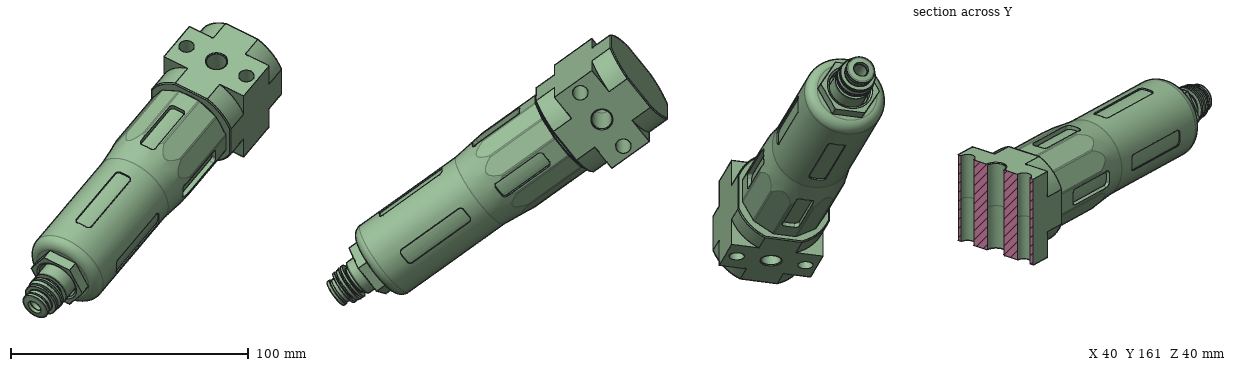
import cadquery as cq
import math


overall_length = 161.0

head_size = 40.0
head_band_width = 16.1
head_corner_radius = math.hypot(head_size / 2, head_band_width / 2)
head_collar_length = 19.8
head_end_chamfer = 0.5

port_diameter = 8.5
port_mouth_diameter = 9.3
mounting_hole_diameter = 6.5
mounting_hole_offset = 15.0

neck_diameter = 34.1
neck_length = 1.3
grip_corner_diameter = 38.2
grip_facet_count = 12
grip_facet_distance = 37.0
grip_length = 27.7
taper_length = 15.3
bowl_diameter = 34.8
bowl_fillet = 4.3

slot_width = 7.4
slot_corner_radius = 1.6
slot_floor_diameter = 33.5
slot_side_count = 4
upper_slot_start = -29.3
upper_slot_length = 25.1
lower_slot_start = -71.3
lower_slot_length = 33.0

hex_side_count = 6
hex_across_flats = 22.2
hex_length = 4.7
socket_diameter = 18.0
socket_mouth_diameter = 19.8
socket_chamfer_depth = 0.5

head_end = -head_size / 2
grip_start = head_end - neck_length
taper_start = grip_start - grip_length
taper_end = taper_start - taper_length
bowl_end = -119.2
hex_end = bowl_end - hex_length

drain_end = head_size / 2 - overall_length
shank_diameter = 16.0
shank_end_diameter = 15.8
shank_end_taper = 0.5
shank_end = -129.0
root_diameter = 11.6
step_diameter = 12.2
step_start = -130.6
upper_ring_start = -131.0
middle_ring_start = -133.0
middle_ring_end = -134.5
lower_ring_start = -135.4
ring_thickness = 1.0
small_ring_diameter = 15.1
shoulder_diameter = 11.8
shoulder_length = 0.3
stem_diameter = 11.5
groove_start = -138.3
groove_diameter = 10.6
tip_start = -139.3
tip_diameter = 12.2
tip_chamfer_width = 0.6
tip_chamfer_height = 0.2
tip_dome_height = 0.3
drain_hole_diameter = 6.0
drain_hole_depth = 12.0
drain_mouth_diameter = 6.5
drain_mouth_depth = 1.6


def cylinder_along_y(diameter, start, end):
    """Cylinder on the Y axis, running toward -Y from start to end."""
    return cq.Workplane("XZ", origin=(0, start, 0)).circle(diameter / 2).extrude(start - end)


def revolve_about_y(points):
    """Solid of revolution from (radius, y) points, closed along the Y axis."""
    outline = [(0, points[0][1]), *points, (0, points[-1][1])]
    return cq.Workplane("XY").polyline(outline).close().revolve(360, (0, 0, 0), (0, 1, 0))


def across_corners(side_count, across_flats):
    """Corner-to-corner diameter of a regular polygon with an even number of sides."""
    return across_flats / math.cos(math.pi / side_count)


def make_head():
    cube = cq.Workplane("XY").box(head_size, head_size, head_size)
    turned = cylinder_along_y(2 * head_corner_radius, head_size / 2, head_end)
    core = cube.intersect(turned).faces("<Y or >Y").edges().chamfer(head_end_chamfer)
    collar = cq.Workplane("XY").box(head_size, head_collar_length, head_size)
    return core.union(collar)


def cut_head_holes(body):
    port = cq.Workplane("XY").circle(port_diameter / 2).extrude(head_size / 2, both=True)
    mounting_holes = (
        cq.Workplane("XY")
        .pushPoints([(-mounting_hole_offset, 0), (mounting_hole_offset, 0)])
        .circle(mounting_hole_diameter / 2)
        .extrude(head_size / 2, both=True)
    )
    body = body.cut(port).cut(mounting_holes)
    port_edges = body.faces("<Z or >Z").edges(cq.selectors.RadiusNthSelector(-1))
    return port_edges.chamfer((port_mouth_diameter - port_diameter) / 2)


def make_guard():
    guard = revolve_about_y([
        (grip_corner_diameter / 2, grip_start),
        (grip_corner_diameter / 2, taper_start),
        (bowl_diameter / 2, taper_end),
        (bowl_diameter / 2, bowl_end),
    ])
    guard = guard.faces("<Y").edges().fillet(bowl_fillet)
    facets = (
        cq.Workplane("XZ", origin=(0, grip_start, 0))
        .transformed(rotate=(0, 0, 180 / grip_facet_count))
        .polygon(grip_facet_count, across_corners(grip_facet_count, grip_facet_distance))
        .extrude(grip_start - bowl_end)
    )
    return guard.intersect(facets)


def make_slot_cutter(start, length):
    """Rounded slot opening toward +Z, down to the cylindrical slot floor."""
    block = (
        cq.Workplane("XY")
        .center(0, start - length / 2)
        .rect(slot_width, length)
        .extrude(head_size / 2)
        .edges("|Z")
        .fillet(slot_corner_radius)
    )
    return block.cut(cylinder_along_y(slot_floor_diameter, start, start - length))


def cut_slots(guard):
    for start, length in (
        (upper_slot_start, upper_slot_length),
        (lower_slot_start, lower_slot_length),
    ):
        cutter = make_slot_cutter(start, length)
        for side in range(slot_side_count):
            angle = side * 360 / slot_side_count
            guard = guard.cut(cutter.rotate((0, 0, 0), (0, 1, 0), angle))
    return guard


def make_hexagon():
    hexagon = (
        cq.Workplane("XZ", origin=(0, bowl_end, 0))
        .polygon(hex_side_count, across_corners(hex_side_count, hex_across_flats))
        .extrude(hex_length)
    )
    socket = revolve_about_y([
        (socket_diameter / 2, bowl_end),
        (socket_diameter / 2, hex_end + socket_chamfer_depth),
        (socket_mouth_diameter / 2, hex_end),
    ])
    return hexagon.cut(socket)


def make_housing():
    head = cut_head_holes(make_head())
    neck = cylinder_along_y(neck_diameter, head_end, grip_start)
    return head.union(neck).union(cut_slots(make_guard())).union(make_hexagon())


def square_step(diameter, start, end):
    """The two (radius, y) points of a cylindrical stretch of a turned outline."""
    return [(diameter / 2, start), (diameter / 2, end)]


def make_drain():
    upper_ring_end = upper_ring_start - ring_thickness
    lower_ring_end = lower_ring_start - ring_thickness
    shoulder_end = lower_ring_end - shoulder_length
    dome_rim = drain_end + tip_dome_height
    body = revolve_about_y([
        *square_step(shank_diameter, bowl_end, shank_end + shank_end_taper),
        (shank_end_diameter / 2, shank_end),
        *square_step(root_diameter, shank_end, step_start),
        *square_step(step_diameter, step_start, upper_ring_start),
        *square_step(shank_diameter, upper_ring_start, upper_ring_end),
        *square_step(step_diameter, upper_ring_end, middle_ring_start),
        (shank_diameter / 2, middle_ring_start),
        (small_ring_diameter / 2, middle_ring_end),
        *square_step(root_diameter, middle_ring_end, lower_ring_start),
        *square_step(small_ring_diameter, lower_ring_start, lower_ring_end),
        *square_step(shoulder_diameter, lower_ring_end, shoulder_end),
        *square_step(stem_diameter, shoulder_end, groove_start),
        (groove_diameter / 2, tip_start),
        *square_step(tip_diameter, tip_start, dome_rim + tip_chamfer_height),
        (tip_diameter / 2 - tip_chamfer_width, dome_rim),
        (drain_mouth_diameter / 2, drain_end),
    ])
    hole = cylinder_along_y(drain_hole_diameter, drain_end + drain_hole_depth, drain_end)
    mouth = cylinder_along_y(drain_mouth_diameter, drain_end + drain_mouth_depth, drain_end)
    return body.cut(hole).cut(mouth)


housing = make_housing()
drain = make_drain()
result = cq.Compound.makeCompound([housing.val(), drain.val()])